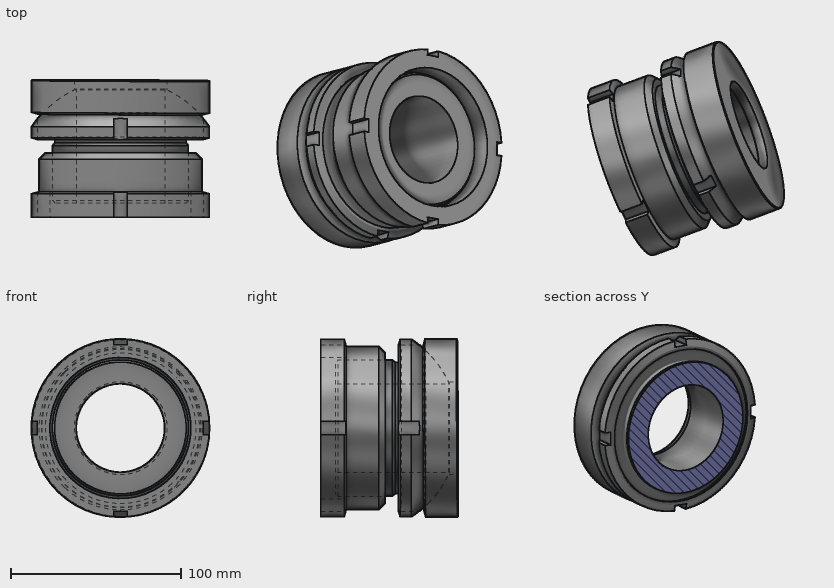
import cadquery as cq
import math

RIM_DIAMETER = 104.8
RIM_RADIUS = RIM_DIAMETER / 2
EDGE_ANGLE = math.radians(15)
RIM_CHAMFER_LENGTH = 1.2
RIM_CHAMFER_DEPTH = RIM_CHAMFER_LENGTH / math.tan(EDGE_ANGLE)
THREAD_RADIUS = 40.0
BORE_RADIUS = 25.9

SLOT_COUNT = 4
SLOT_WIDTH = 7.9
SLOT_FLOOR_RADIUS = 48.8

NUT_RIM_LENGTH = 15.0
NUT_NECK_RADIUS = 48.0
NUT_LENGTH = 37.9
NUT_CHAMFER = 3.7
NUT_RECESS_RADIUS = 41.5
NUT_RECESS_DEPTH = NUT_RIM_LENGTH

STEM_START = 8.6
THREAD_CHAMFER_LENGTH = 1.6
UNDERCUT_RADIUS = 38.7
UNDERCUT_FILLET = 0.6
THREAD_CHAMFER_DEPTH = THREAD_RADIUS - UNDERCUT_RADIUS
THREAD_END = 43.8
HEAD_START = 45.5
HEAD_RIM_END = 53.2
HEAD_RECESS_RADIUS = 46.4
HEAD_RECESS_DEPTH = 1.7
SPHERE_RADIUS = 63.0
SPHERE_CENTER = HEAD_RIM_END - math.sqrt(SPHERE_RADIUS**2 - RIM_RADIUS**2)

WASHER_START = 60.3
WASHER_END = 80.6
WASHER_BORE_RADIUS = 27.3
WASHER_BACK_CHAMFER = 0.5
WASHER_TILT = 0.25


def sphere_y(radius):
    """Axial position where the spherical seat has the given radius."""
    return SPHERE_CENTER + math.sqrt(SPHERE_RADIUS**2 - radius**2)


def turned(outline):
    """Revolve a closed (radius, y) outline about the Y axis."""
    return outline.close().revolve(360, (0, 0, 0), (0, 1, 0))


def cut_slots(body, start, end):
    """Cut evenly spaced flat-bottomed spanner slots into a rim."""
    slot_depth = 2 * (RIM_RADIUS - SLOT_FLOOR_RADIUS)
    slot = cq.Workplane("XY").box(
        slot_depth, end - start, SLOT_WIDTH, centered=(False, False, True)
    ).translate((SLOT_FLOOR_RADIUS, start, 0))
    for index in range(SLOT_COUNT):
        body = body.cut(slot.rotate((0, 0, 0), (0, 1, 0), index * 360 / SLOT_COUNT))
    return body


def make_nut():
    """Slotted nut with a recess around the stem's end."""
    outline = cq.Workplane("XY").polyline([
        (NUT_RECESS_RADIUS, 0),
        (RIM_RADIUS, 0),
        (RIM_RADIUS, NUT_RIM_LENGTH - RIM_CHAMFER_LENGTH),
        (RIM_RADIUS - RIM_CHAMFER_DEPTH, NUT_RIM_LENGTH),
        (NUT_NECK_RADIUS, NUT_RIM_LENGTH),
        (NUT_NECK_RADIUS, NUT_LENGTH - NUT_CHAMFER),
        (NUT_NECK_RADIUS - NUT_CHAMFER, NUT_LENGTH),
        (THREAD_RADIUS, NUT_LENGTH),
        (THREAD_RADIUS, NUT_RECESS_DEPTH),
        (NUT_RECESS_RADIUS, NUT_RECESS_DEPTH),
    ])
    return cut_slots(turned(outline), 0, NUT_RIM_LENGTH)


def make_stem():
    """Bored shank with an undercut below its slotted, recessed spherical head."""
    middle_radius = (RIM_RADIUS + BORE_RADIUS) / 2
    recess_floor = HEAD_START + HEAD_RECESS_DEPTH
    outline = (
        cq.Workplane("XY")
        .moveTo(BORE_RADIUS, STEM_START)
        .lineTo(THREAD_RADIUS - THREAD_CHAMFER_DEPTH, STEM_START)
        .lineTo(THREAD_RADIUS, STEM_START + THREAD_CHAMFER_LENGTH)
        .lineTo(THREAD_RADIUS, THREAD_END - THREAD_CHAMFER_LENGTH)
        .lineTo(UNDERCUT_RADIUS, THREAD_END)
        .lineTo(UNDERCUT_RADIUS, recess_floor - UNDERCUT_FILLET)
        .radiusArc((UNDERCUT_RADIUS + UNDERCUT_FILLET, recess_floor), UNDERCUT_FILLET)
        .lineTo(HEAD_RECESS_RADIUS, recess_floor)
        .lineTo(HEAD_RECESS_RADIUS, HEAD_START)
        .lineTo(RIM_RADIUS - RIM_CHAMFER_DEPTH, HEAD_START)
        .lineTo(RIM_RADIUS, HEAD_START + RIM_CHAMFER_LENGTH)
        .lineTo(RIM_RADIUS, HEAD_RIM_END)
        .threePointArc((middle_radius, sphere_y(middle_radius)), (BORE_RADIUS, sphere_y(BORE_RADIUS)))
    )
    return cut_slots(turned(outline), HEAD_START, sphere_y(SLOT_FLOOR_RADIUS))


def make_washer():
    """Chamfered ring, tilted about its own middle, with a seat that fits the spherical head."""
    outline = cq.Workplane("XY").polyline([
        (WASHER_BORE_RADIUS, WASHER_START),
        (RIM_RADIUS - RIM_CHAMFER_DEPTH, WASHER_START),
        (RIM_RADIUS, WASHER_START + RIM_CHAMFER_LENGTH),
        (RIM_RADIUS, WASHER_END - WASHER_BACK_CHAMFER),
        (RIM_RADIUS - WASHER_BACK_CHAMFER, WASHER_END),
        (WASHER_BORE_RADIUS, WASHER_END),
    ])
    washer_middle = (0, (WASHER_START + WASHER_END) / 2, 0)
    ring = turned(outline)
    ring = ring.rotate(washer_middle, (1, washer_middle[1], 0), WASHER_TILT)
    ring = ring.rotate(washer_middle, (0, washer_middle[1], 1), -WASHER_TILT)
    seat = cq.Workplane("XY").sphere(SPHERE_RADIUS).translate((0, SPHERE_CENTER, 0))
    return ring.cut(seat)


nut = make_nut()
stem = make_stem()
washer = make_washer()

result = cq.Compound.makeCompound([nut.val(), stem.val(), washer.val()])